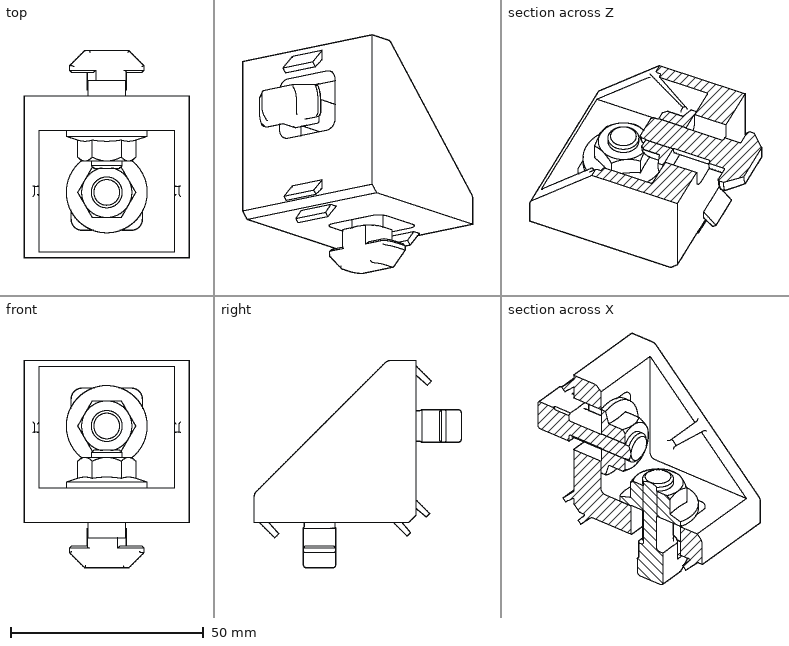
import cadquery as cq
import math

ASSEMBLY_SIZE = 53.8

WIDTH = 42.9
SIDE = 42.0
LIP = 7.4
LIP_RADIUS = 2.0
HEEL_CHAMFER = 1.9
WALL = 9.0
CAVITY_WIDTH = 35.0
CAVITY_RADIUS = 1.5
SLOPE_SUM = SIDE + LIP

AXIS = 25.0
SLOT_WIDTH = 18.4
SLOT_FAR = 9.8
SLOT_NEAR = 6.15
SLOT_RADIUS = 2.8

LUG_WIDTH = 9.85
OUTER_LUG = dict(outer_root=40.6, inner_root=38.15, reach=4.0, tip=1.1)
INNER_LUG = dict(outer_root=5.85, inner_root=3.6, reach=3.55, tip=0.9)

RECESS_DEPTH = 1.25
RECESS_LENGTH = 12.55
RECESS_MOUTH = 3.1
RECESS_END = 2.05
RECESS_ROUND = 0.5

FLANGE_DIAMETER = 21
FLANGE_EDGE = 1.5
FLANGE_ANGLE = 18
HEX_FLATS = 13.0
NUT_HEIGHT = 7.9

SHANK_DIAMETER = 8.0
TIP_DIAMETER = 6.65
SHANK_TOP = 18.8
NECK_TOP = -1.5
NECK_HALF = 5.05
HEAD_TOP = -6.0
HEAD_BOTTOM = SIDE - ASSEMBLY_SIZE
HEAD_HALF = 9.7
HEAD_END = 1.8
BOLT_THICKNESS = 8.5
SHANK_ROUND = 0.55
NECK_ROUND = 0.55
HEAD_ROUND = 0.95
SHOULDER_CHAMFER = 0.6

TOLERANCE = 0.005

HALF_DEPTH = BOLT_THICKNESS / 2


def swap_legs(shape):
    """Half turn about the bracket's diagonal: floor features move to the back wall."""
    return shape.rotate((0, 0, 0), (0, -1, 1), 180)


def side_profile(points, width):
    """Prism across X from (Y, Z) points, centred on X = 0."""
    return cq.Workplane("YZ").polyline(points).close().extrude(width / 2, both=True)


def at_screw(shape):
    """Move a shape built on the Z axis to the floor screw."""
    return shape.translate((0, -AXIS, 0))


def bracket_block():
    block = side_profile([(0, 0), (-SIDE, 0), (-SIDE, LIP), (-LIP, SIDE), (0, SIDE)], WIDTH)
    block = block.edges(cq.selectors.NearestToPointSelector((0, 0, 0))).chamfer(HEEL_CHAMFER)
    for y, z in [(-SIDE, LIP), (-LIP, SIDE)]:
        block = block.edges(cq.selectors.NearestToPointSelector((0, y, z))).fillet(LIP_RADIUS)
    return block


def bracket_cavity():
    far = SIDE + WALL
    cavity = side_profile([(-WALL, WALL), (-far, WALL), (-WALL, far)], CAVITY_WIDTH)
    inner_corner = cq.selectors.NearestToPointSelector((0, -WALL, WALL))
    return cavity.edges(inner_corner).fillet(CAVITY_RADIUS)


def floor_slot():
    length = SLOT_FAR + SLOT_NEAR
    slot = cq.Workplane().box(SLOT_WIDTH, length, WALL, centered=(True, True, False))
    slot = slot.edges("|Z").fillet(SLOT_RADIUS)
    return at_screw(slot.translate((0, (SLOT_NEAR - SLOT_FAR) / 2, 0)))


def floor_lug(outer_root, inner_root, reach, tip):
    """Lug below the floor, leaning 45 degrees towards the heel and slightly tapered."""
    tip_y = reach - outer_root
    return side_profile(
        [(-outer_root, 0), (tip_y, -reach), (tip_y + tip, tip - reach), (-inner_root, 0)], LUG_WIDTH
    )


def side_recesses():
    """Tapered bar across the cavity whose ends cut a pocket in each side wall.

    It runs from the middle of the slope straight at the heel.
    """
    mouth = SLOPE_SUM / 2
    plane = cq.Plane(origin=(0, -mouth, mouth), xDir=(0, -1, -1), normal=(1, 0, 0))
    return (
        cq.Workplane(plane)
        .polyline([
            (-RECESS_MOUTH / 2, 0), (RECESS_MOUTH / 2, 0),
            (RECESS_END / 2, RECESS_LENGTH), (-RECESS_END / 2, RECESS_LENGTH),
        ])
        .close()
        .extrude(CAVITY_WIDTH / 2 + RECESS_DEPTH, both=True)
    )


def is_recess_rim(edge):
    """True for the edges of a recess on the sloping face and on the cavity wall."""
    center = edge.Center()
    side = abs(center.x) - CAVITY_WIDTH / 2
    along = abs(center.y + center.z) / math.sqrt(2)
    depth = (SLOPE_SUM + center.y - center.z) / math.sqrt(2)
    if along > RECESS_MOUTH / 2 + TOLERANCE or depth > RECESS_LENGTH + TOLERANCE:
        return False
    on_slope = depth < TOLERANCE and 0 < side < RECESS_DEPTH + TOLERANCE
    on_wall = depth > TOLERANCE and abs(side) < TOLERANCE
    return on_slope or on_wall


def make_bracket():
    bracket = bracket_block().cut(bracket_cavity()).cut(side_recesses())
    rims = [edge for edge in bracket.edges().vals() if is_recess_rim(edge)]
    bracket = bracket.newObject(rims).fillet(RECESS_ROUND)
    slot = floor_slot()
    bracket = bracket.cut(slot).cut(swap_legs(slot))
    for sizes in (OUTER_LUG, INNER_LUG):
        lug = floor_lug(**sizes)
        bracket = bracket.union(lug).union(swap_legs(lug))
    return bracket


def make_nut():
    corner = HEX_FLATS / math.sqrt(3)
    flat = HEX_FLATS / 2
    flange = FLANGE_DIAMETER / 2
    cone_top = FLANGE_EDGE + flange * math.tan(math.radians(FLANGE_ANGLE))
    hexagon = cq.Workplane().polygon(6, 2 * corner).extrude(NUT_HEIGHT)
    trim = (
        cq.Workplane("XZ")
        .polyline([(0, 0), (flat + NUT_HEIGHT, 0), (flat, NUT_HEIGHT), (0, NUT_HEIGHT)])
        .close()
        .revolve(360, (0, 0, 0), (0, 1, 0))
    )
    base = (
        cq.Workplane("XZ")
        .polyline([(0, 0), (flange, 0), (flange, FLANGE_EDGE), (0, cone_top)])
        .close()
        .revolve(360, (0, 0, 0), (0, 1, 0))
    )
    bore = cq.Workplane().circle(SHANK_DIAMETER / 2).extrude(NUT_HEIGHT)
    nut = hexagon.intersect(trim).union(base).cut(bore)
    return at_screw(nut.translate((0, 0, WALL)))


def hammer_outline():
    """Half outline of neck and head in the XZ plane, from the axis outwards."""
    head_edge = HEAD_TOP - HEAD_END
    bottom_half = HEAD_HALF - (head_edge - HEAD_BOTTOM)
    return (
        cq.Workplane("XZ")
        .polyline([
            (0, NECK_TOP), (NECK_HALF, NECK_TOP), (NECK_HALF, HEAD_TOP), (HEAD_HALF, HEAD_TOP),
            (HEAD_HALF, head_edge), (bottom_half, HEAD_BOTTOM), (0, HEAD_BOTTOM),
        ])
        .close()
    )


def slab():
    """Space between the two flat faces of the bolt."""
    return cq.Workplane().box(4 * HEAD_HALF, BOLT_THICKNESS, 4 * HEAD_HALF)


def hammer_head():
    """Neck and head: square in two opposite quarters, turned round in the other two."""
    turned = hammer_outline().revolve(360, (0, 0, 0), (0, 1, 0)).intersect(slab())
    square_quarter = hammer_outline().extrude(-HALF_DEPTH)
    opposite_quarter = square_quarter.rotate((0, 0, 0), (0, 0, 1), 180)
    return turned.union(square_quarter).union(opposite_quarter)


def flat_face_edges(head):
    """Edges around the two flat faces of the bolt."""
    return head.faces("<Y or >Y").edges().vals()


def is_neck_corner(edge):
    """True for an upright edge where a flat face meets a side of the neck."""
    center = edge.Center()
    on_flat_face = abs(center.y) > HALF_DEPTH - TOLERANCE
    on_neck_side = abs(center.x) > NECK_HALF - TOLERANCE
    return on_flat_face and on_neck_side and center.z > HEAD_TOP


def soften_hammer_head(head):
    """Round the rim of the head, chamfer its shoulders and round the square neck corners."""
    rim = [edge for edge in flat_face_edges(head) if edge.Center().z < HEAD_TOP - TOLERANCE]
    head = head.newObject(rim).fillet(HEAD_ROUND)

    shoulders = [edge for edge in flat_face_edges(head) if abs(edge.Center().z - HEAD_TOP) < TOLERANCE]
    head = head.newObject(shoulders).chamfer(SHOULDER_CHAMFER)

    corners = [edge for edge in head.edges("|Z").vals() if is_neck_corner(edge)]
    return head.newObject(corners).fillet(NECK_ROUND)


def bolt_shank():
    radius = SHANK_DIAMETER / 2
    shank = (
        cq.Workplane()
        .workplane(offset=NECK_TOP)
        .circle(radius)
        .extrude(SHANK_TOP - NECK_TOP)
        .faces(">Z")
        .chamfer((SHANK_DIAMETER - TIP_DIAMETER) / 2)
    )
    root = (
        cq.Workplane("XZ")
        .moveTo(0, NECK_TOP)
        .lineTo(radius + SHANK_ROUND, NECK_TOP)
        .radiusArc((radius, NECK_TOP + SHANK_ROUND), SHANK_ROUND)
        .lineTo(0, NECK_TOP + SHANK_ROUND)
        .close()
        .revolve(360, (0, 0, 0), (0, 1, 0))
        .intersect(slab())
    )
    return shank.union(root)


def make_bolt():
    head = soften_hammer_head(hammer_head())
    return at_screw(head.union(bolt_shank()))


def on_both_legs(floor_part):
    """The solid on the floor and its separate copy on the back wall."""
    return [leg_part.val() for leg_part in (floor_part, swap_legs(floor_part))]


bracket = make_bracket()
nuts = on_both_legs(make_nut())
bolts = on_both_legs(make_bolt())

result = cq.Compound.makeCompound([bracket.val(), *nuts, *bolts])